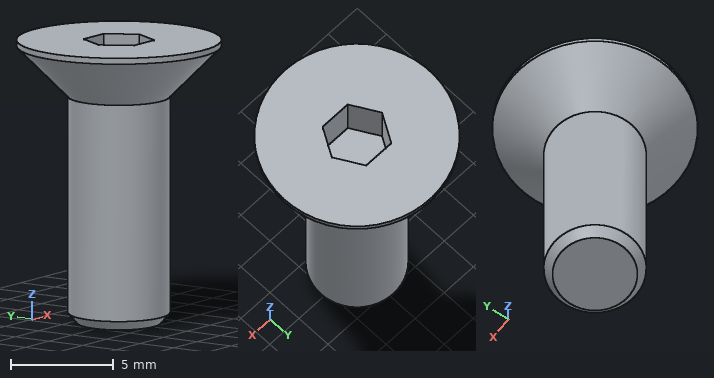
import cadquery as cq
import math

total_length = 14.0
head_diameter = 10.0
shank_diameter = 5.0
rim_height = 0.3
tip_chamfer_height = 0.5
tip_chamfer_width = 0.43
socket_across_flats = 3.0
socket_depth = 2.5

head_radius = head_diameter / 2
shank_radius = shank_diameter / 2
cone_height = head_radius - shank_radius
cone_top = total_length - rim_height
cone_bottom = cone_top - cone_height
tip_radius = shank_radius - tip_chamfer_width
socket_across_corners = socket_across_flats / math.cos(math.radians(30))


def screw_body():
    """Revolve the half profile of tip, shank, countersink and rim."""
    return (
        cq.Workplane("XZ")
        .lineTo(tip_radius, 0)
        .lineTo(shank_radius, tip_chamfer_height)
        .lineTo(shank_radius, cone_bottom)
        .lineTo(head_radius, cone_top)
        .lineTo(head_radius, total_length)
        .lineTo(0, total_length)
        .close()
        .revolve(360, (0, 0), (0, 1))
    )


def hex_socket():
    """Hexagonal prism with two corners on the X axis."""
    return (
        cq.Workplane("XY", origin=(0, 0, total_length))
        .polygon(6, socket_across_corners)
        .extrude(-socket_depth)
    )


result = screw_body().cut(hex_socket())